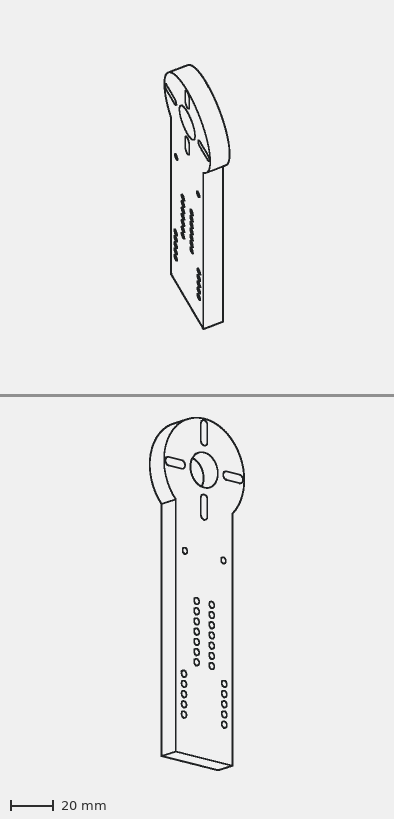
import cadquery as cq

total_height = 165
thickness = 10.0
head_diameter = 50.0
shank_width = 35.3
head_z = total_height - head_diameter / 2

bore_diameter = 17.0
slot_length = 12.2
slot_width = 4.1
slot_radius = 18.0

hole_pitch = 5.0
small_hole = 3.0
large_hole = 3.1

upper_pair_spacing = 24.0
upper_pair_z = 98.5

inner_spacing = 9.4
inner_bottom_z = 45.9
inner_rows = 7

outer_spacing = 25.0
outer_bottom_z = 19.0
outer_rows = 5


def front_plane():
    """Sketch plane with X to the right and Z up, through the middle of the plate."""
    return cq.Workplane("XZ")


def plate_blank():
    """Round head merged with the straight shank below it."""
    head = front_plane().center(0, head_z).circle(head_diameter / 2).extrude(thickness / 2, both=True)
    shank = (
        front_plane()
        .center(0, head_z / 2)
        .rect(shank_width, head_z)
        .extrude(thickness / 2, both=True)
    )
    return head.union(shank)


def round_holes(points, diameter):
    """Cutters for holes right through the plate."""
    return front_plane().pushPoints(points).circle(diameter / 2).extrude(thickness, both=True)


def radial_slots():
    """Cutters for four slots pointing away from the head centre."""
    side_points = [(side * slot_radius, 0) for side in (-1, 1)]
    vertical_points = [(0, side * slot_radius) for side in (-1, 1)]
    head_plane = front_plane().center(0, head_z)
    return (
        head_plane
        .pushPoints(side_points)
        .slot2D(slot_length, slot_width)
        .pushPoints(vertical_points)
        .slot2D(slot_length, slot_width, 90)
        .extrude(thickness, both=True)
    )


def paired_rows(spacing, bottom_z, rows):
    """Hole centres in two mirrored columns, counted upward from the lowest row."""
    return [
        (side * spacing / 2, bottom_z + row * hole_pitch)
        for side in (-1, 1)
        for row in range(rows)
    ]


result = (
    plate_blank()
    .cut(round_holes([(0, head_z)], bore_diameter))
    .cut(radial_slots())
    .cut(round_holes(paired_rows(upper_pair_spacing, upper_pair_z, 1), small_hole))
    .cut(round_holes(paired_rows(inner_spacing, inner_bottom_z, inner_rows), large_hole))
    .cut(round_holes(paired_rows(outer_spacing, outer_bottom_z, outer_rows), large_hole))
)